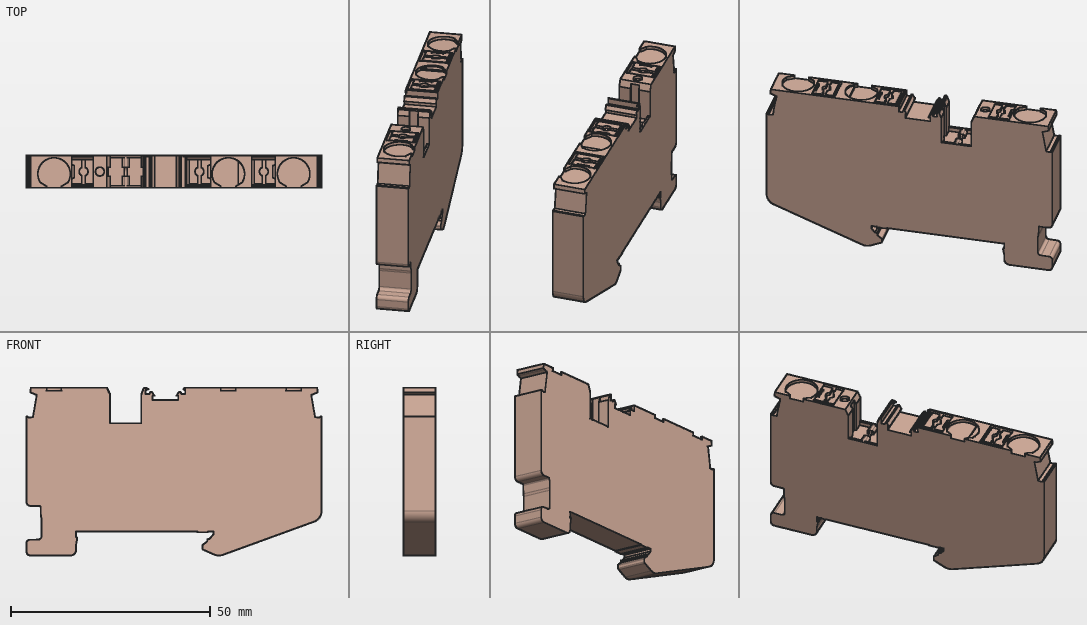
import cadquery as cq
import math

LENGTH = 74.2
WIDTH = 8.15
HEIGHT = 42.2
FRONT = -WIDTH / 2
BACK = WIDTH / 2

SHOULDER_LEDGE = 34.9
SHOULDER_ROOT = 1.6
SHOULDER_NECK = 2.6
FLANGE_EDGE = 1.1
FLANGE_UNDERSIDE = 40.4

NOTCH_LEFT = 21.1
NOTCH_RIGHT = 28.9
NOTCH_FLOOR = 33.3
NOTCH_CHAMFER = 0.8
NOTCH_CHAMFER_DROP = 1.7
NOTCH_PEAK_BEVEL = 0.3

SEAT_MIDDLE = 34.95
SEAT_HALF = 5.0
SEAT_FLOOR = 39.1
SEAT_SHELF = 40.65
SEAT_WALL_HALF = 3.2
SEAT_HOOK_TOP = 41.2
SEAT_HOOK_TIP = 40.15
SEAT_HOOK_TIP_HALF = 2.75
SEAT_HOOK_INNER = 3.4
SEAT_HOOK_OUTER = 3.8
SEAT_HOOK_FOOT = 4.0

RAIL_FACE = 6.0
RAIL_LEFT = 12.55
RAIL_RIGHT = 47.0
NOSE_MIDDLE = 48.4
NOSE_RADIUS = 3.0
NOSE_LEFT_ANGLE = math.radians(24)
BEVEL_ANGLE = math.radians(20)
BEVEL_END_RADIUS = 3.0
CLIP_LEFT = 44.2
CLIP_TOP = 2.7
FOOT_THICKNESS = 4.1
FOOT_HEEL_RADIUS = 1.5
FOOT_TOE_RADIUS = 1.1
FOOT_TOP_RADIUS = 1.0
FOOT_NECK = 3.8
FOOT_NECK_RADIUS = 0.8
HOUSING_UNDERSIDE = 12.5
HOUSING_EDGE_RADIUS = 1.1
RAIL_PAD_START = 42.95
RAIL_PAD_LENGTH = 2.7
RAIL_PAD_DROP = 0.15

RECESS_DEPTH = 0.8
DISC_CENTRES = (7.0, 50.75, 67.15)
DISC_RADIUS = 4.1
DISC_Y = -0.6
DISC_WINDOW = 3.7
DISC_WINDOW_BACK = -3.7
DISC_FLANK_X = 3.5
DISC_STEP_X = 53.2
DISC_STEP_HEIGHT = 0.45

POCKET_FRONT = -3.6
POCKET_BACK = 3.7
BUTTON_FRONT = -3.05
BUTTON_BACK = 3.05
POCKET_FRONT_SLOPE = 0.4
BUTTON_LENGTH = 5.35
BUTTON_DROP = 0.1
KEYHOLE_DIAMETER = 2.2
KEYHOLE_SLOT = 0.9
TOOL_NOTCH_LENGTH = 0.7
TOOL_NOTCH_OUTER = 3.55
TOOL_NOTCH_INNER = 3.0
BUTTONS = (
    (11.4, 0.0, -1, 3.0),
    (40.95, 0.6, 1, 2.5),
    (57.2, 0.6, 1, 2.45),
)
TEST_HOLE_X = 18.5
TEST_HOLE_DIAMETER = 2.2

GUIDE_WIDTH = 2.2
GUIDE_DEPTH = 0.5
CHANNEL_DIAMETER = 2.2
TRAY_HALF_WIDTH = 3.5
TRAY_DEPTH = CHANNEL_DIAMETER / 2
BAR_LEFT = 24.6
BAR_RIGHT = 25.3
BAR_SHOULDER = 0.5

TOOTH_THICKNESS = 0.3
TOOTH_HEIGHT = 0.4
LEFT_TOOTH_REACH = 0.8
RIGHT_TOOTH_REACH = 0.5


def mirrored(points, axis_x):
    """Points reflected about a vertical line, in reverse order."""
    return [(2 * axis_x - x, z, radius) for x, z, radius in reversed(points)]


def toward(start, end, distance):
    """Point at a distance from start on the line to end."""
    span = math.dist(start, end)
    return tuple(a + (b - a) * distance / span for a, b in zip(start, end))


def rounded_outline(corners):
    """Closed XZ wire through (x, z, radius) corners; radius 0 leaves a corner sharp."""
    pieces = []
    for i, (x, z, radius) in enumerate(corners):
        corner = (x, z)
        before = corners[i - 1][:2]
        after = corners[(i + 1) % len(corners)][:2]
        if radius == 0:
            pieces.append((corner,))
            continue
        to_before = math.atan2(before[1] - z, before[0] - x)
        to_after = math.atan2(after[1] - z, after[0] - x)
        half_angle = abs(math.remainder(to_before - to_after, 2 * math.pi)) / 2
        tangent = radius / math.tan(half_angle)
        start = toward(corner, before, tangent)
        end = toward(corner, after, tangent)
        chord_middle = ((start[0] + end[0]) / 2, (start[1] + end[1]) / 2)
        arc_middle = toward(corner, chord_middle, radius / math.sin(half_angle) - radius)
        pieces.append((start, arc_middle, end))

    path = cq.Workplane("XZ").moveTo(*pieces[0][-1])
    for piece in pieces[1:] + pieces[:1]:
        path = path.lineTo(*piece[0])
        if len(piece) == 3:
            path = path.threePointArc(*piece[1:])
    return path.close()


def extrude_outline(corners, front, back):
    """Prism of an XZ outline between two Y positions."""
    return rounded_outline(corners).extrude(back - front).translate((0, back, 0))


def box(x_range, y_range, z_range):
    """Box between pairs of limits."""
    sizes = [high - low for low, high in (x_range, y_range, z_range)]
    return cq.Workplane("XY").box(*sizes, centered=False).translate((x_range[0], y_range[0], z_range[0]))


def body():
    """Housing plate with the end shoulders, wire notch, marker seat and rail foot."""
    left_shoulder = [
        (0, SHOULDER_LEDGE, 0),
        (0.2, SHOULDER_LEDGE + 0.15, 0),
        (0.6, SHOULDER_LEDGE - 0.15, 0),
        (SHOULDER_ROOT, SHOULDER_LEDGE - 0.1, 0),
        (SHOULDER_NECK, FLANGE_UNDERSIDE, 0),
        (FLANGE_EDGE + 0.3, FLANGE_UNDERSIDE + 0.45, 0),
        (FLANGE_EDGE - 0.15, FLANGE_UNDERSIDE + 0.7, 0),
        (FLANGE_EDGE, HEIGHT, 0),
    ]
    peak_x = NOTCH_RIGHT + NOTCH_CHAMFER
    notch = [
        (NOTCH_LEFT - NOTCH_CHAMFER, HEIGHT, 0),
        (NOTCH_LEFT, HEIGHT - NOTCH_CHAMFER_DROP, 0),
        (NOTCH_LEFT, NOTCH_FLOOR, 0),
        (NOTCH_RIGHT, NOTCH_FLOOR, 0),
        (NOTCH_RIGHT, HEIGHT - NOTCH_CHAMFER_DROP, 0),
        (peak_x - NOTCH_PEAK_BEVEL, HEIGHT - NOTCH_PEAK_BEVEL, 0),
        (peak_x, HEIGHT, 0),
    ]
    seat_left = [
        (SEAT_MIDDLE - SEAT_HALF, HEIGHT, 0),
        (SEAT_MIDDLE - SEAT_HALF, SEAT_SHELF, 0),
        (SEAT_MIDDLE - SEAT_HOOK_FOOT, SEAT_SHELF, 0),
        (SEAT_MIDDLE - SEAT_HOOK_OUTER, SEAT_HOOK_TOP, 0),
        (SEAT_MIDDLE - SEAT_HOOK_INNER, SEAT_HOOK_TOP, 0),
        (SEAT_MIDDLE - SEAT_HOOK_TIP_HALF, SEAT_HOOK_TIP, 0),
        (SEAT_MIDDLE - SEAT_WALL_HALF, SEAT_HOOK_TIP, 0),
        (SEAT_MIDDLE - SEAT_WALL_HALF, SEAT_FLOOR, 0),
    ]
    nose_reach = NOSE_RADIUS / math.cos((NOSE_LEFT_ANGLE + BEVEL_ANGLE) / 2)
    nose_lean = (BEVEL_ANGLE - NOSE_LEFT_ANGLE) / 2
    nose_x = NOSE_MIDDLE + nose_reach * math.sin(nose_lean)
    nose_z = NOSE_RADIUS - nose_reach * math.cos(nose_lean)
    bevel_end = nose_z + (LENGTH - nose_x) * math.tan(BEVEL_ANGLE)
    clip_z = nose_z + (nose_x - CLIP_LEFT) * math.tan(NOSE_LEFT_ANGLE)
    underside = [
        (LENGTH, bevel_end, BEVEL_END_RADIUS),
        (nose_x, nose_z, NOSE_RADIUS),
        (CLIP_LEFT, clip_z, 0.4),
        (CLIP_LEFT, CLIP_TOP, 0.2),
        (45.4, 3.55, 0),
        (45.5, 4.15, 0),
        (46.0, 4.2, 0),
        (RAIL_RIGHT, 5.35, 0),
        (RAIL_RIGHT, RAIL_FACE, 0),
        (RAIL_LEFT, RAIL_FACE, 0),
        (RAIL_LEFT, 4.7, 0),
        (12.8, 4.4, 0),
        (RAIL_LEFT, 2.8, 0),
        (RAIL_LEFT, 0, FOOT_HEEL_RADIUS),
        (0, 0, FOOT_TOE_RADIUS),
        (0, FOOT_THICKNESS - 0.1, FOOT_TOP_RADIUS),
        (FOOT_NECK, FOOT_THICKNESS, FOOT_NECK_RADIUS),
        (FOOT_NECK, 9.35, 0),
        (FOOT_NECK - 0.15, 10.0, 0),
        (FOOT_NECK - 0.2, HOUSING_UNDERSIDE, 0.2),
        (0, HOUSING_UNDERSIDE, HOUSING_EDGE_RADIUS),
    ]
    corners = left_shoulder + notch + seat_left + mirrored(seat_left, SEAT_MIDDLE)
    corners += mirrored(left_shoulder, LENGTH / 2) + underside
    return extrude_outline(corners, FRONT, BACK)


def seat_tooth(root_x, reach):
    """Thin triangular tooth flush with the back face; the sign of reach is its direction."""
    corners = [
        (root_x, HEIGHT, 0),
        (root_x + reach, HEIGHT - TOOTH_HEIGHT, 0),
        (root_x, HEIGHT - 2 * TOOTH_HEIGHT, 0),
    ]
    return extrude_outline(corners, BACK - TOOTH_THICKNESS, BACK)


def top_prism(sketch, depth=RECESS_DEPTH):
    """Cutter of the given plan shape, sunk from the top face."""
    return sketch.extrude(depth).translate((0, 0, HEIGHT - depth))


def disc_recess(centre_x):
    """Round recess whose front side tapers to a window in the front face."""
    flank_y = DISC_Y - math.sqrt(DISC_RADIUS**2 - DISC_FLANK_X**2)
    half_window = DISC_WINDOW / 2
    plan = (
        cq.Workplane("XY")
        .moveTo(centre_x - DISC_FLANK_X, flank_y)
        .threePointArc((centre_x, DISC_Y + DISC_RADIUS), (centre_x + DISC_FLANK_X, flank_y))
        .lineTo(centre_x + half_window, DISC_WINDOW_BACK)
        .lineTo(centre_x + half_window, FRONT)
        .lineTo(centre_x - half_window, FRONT)
        .lineTo(centre_x - half_window, DISC_WINDOW_BACK)
        .close()
    )
    return top_prism(plan)


def button_recess(left, gap, notch_side, keyhole_offset):
    """Sloped pocket around a nearly flush button that carries a keyhole and a tool notch."""
    right = left + BUTTON_LENGTH
    floor = HEIGHT - RECESS_DEPTH
    pocket = (
        cq.Workplane("YZ")
        .polyline([
            (POCKET_FRONT, HEIGHT),
            (POCKET_FRONT + POCKET_FRONT_SLOPE, floor),
            (BUTTON_BACK, floor),
            (POCKET_BACK, HEIGHT),
        ])
        .close()
        .extrude(BUTTON_LENGTH + gap)
        .translate((left - gap, 0, 0))
    )
    button = box((left, right), (BUTTON_FRONT, BUTTON_BACK), (floor, HEIGHT - BUTTON_DROP))

    keyhole_x = left + keyhole_offset
    slot = box(
        (keyhole_x - KEYHOLE_SLOT / 2, keyhole_x + KEYHOLE_SLOT / 2),
        (BUTTON_FRONT, BUTTON_BACK),
        (floor, HEIGHT),
    )
    eye = top_prism(cq.Workplane("XY").center(keyhole_x, 0).circle(KEYHOLE_DIAMETER / 2))

    notch_edge = right if notch_side > 0 else left
    notch_end = notch_edge - notch_side * TOOL_NOTCH_LENGTH
    tool_notch = top_prism(
        cq.Workplane("XY")
        .polyline([
            (notch_edge, TOOL_NOTCH_OUTER / 2),
            (notch_end, TOOL_NOTCH_INNER / 2),
            (notch_end, -TOOL_NOTCH_INNER / 2),
            (notch_edge, -TOOL_NOTCH_OUTER / 2),
        ])
        .close()
    )
    opening = box((left, right), (BUTTON_FRONT, BUTTON_BACK), (floor, HEIGHT))
    return pocket.union(opening).cut(button).union(slot).union(eye).union(tool_notch)


def wire_guide():
    """Upright grooves in both walls of the wire notch, reaching down to the tray floor."""
    return box(
        (NOTCH_LEFT - GUIDE_DEPTH, NOTCH_RIGHT + GUIDE_DEPTH),
        (-GUIDE_WIDTH / 2, GUIDE_WIDTH / 2),
        (NOTCH_FLOOR - TRAY_DEPTH, HEIGHT),
    )


def tray_bar():
    """Bar with rounded shoulders, thinned in the middle and bored by a round wire channel."""
    bottom = NOTCH_FLOOR - TRAY_DEPTH
    left = BAR_LEFT - BAR_SHOULDER
    right = BAR_RIGHT + BAR_SHOULDER
    section = [
        (left, bottom, 0),
        (left, NOTCH_FLOOR, BAR_SHOULDER),
        (right, NOTCH_FLOOR, BAR_SHOULDER),
        (right, bottom, 0),
    ]
    bar = extrude_outline(section, -TRAY_HALF_WIDTH, TRAY_HALF_WIDTH)
    heights = (bottom, NOTCH_FLOOR)
    half_guide = GUIDE_WIDTH / 2
    for side in ((left, BAR_LEFT), (BAR_RIGHT, right)):
        bar = bar.cut(box(side, (-half_guide, half_guide), heights))
    channel = (
        cq.Workplane("YZ", origin=(left, 0, NOTCH_FLOOR))
        .circle(CHANNEL_DIAMETER / 2)
        .extrude(right - left)
    )
    return bar.cut(channel)


def notch_hollows():
    """Wire guides and the two floor trays, with the bar between the trays left standing."""
    trays = box(
        (NOTCH_LEFT, NOTCH_RIGHT),
        (-TRAY_HALF_WIDTH, TRAY_HALF_WIDTH),
        (NOTCH_FLOOR - TRAY_DEPTH, NOTCH_FLOOR),
    )
    return trays.union(wire_guide()).cut(tray_bar())


part = body()
part = part.union(seat_tooth(SEAT_MIDDLE - SEAT_HALF, LEFT_TOOTH_REACH))
part = part.union(seat_tooth(SEAT_MIDDLE + SEAT_HALF, -RIGHT_TOOTH_REACH))
part = part.union(
    box(
        (RAIL_PAD_START, RAIL_PAD_START + RAIL_PAD_LENGTH),
        (FRONT, BACK),
        (RAIL_FACE - RAIL_PAD_DROP, RAIL_FACE),
    )
)

for disc_x in DISC_CENTRES:
    recess = disc_recess(disc_x)
    step = box(
        (DISC_STEP_X, DISC_STEP_X + DISC_RADIUS),
        (FRONT, BACK),
        (HEIGHT - RECESS_DEPTH, HEIGHT - RECESS_DEPTH + DISC_STEP_HEIGHT),
    )
    part = part.cut(recess.cut(step))

for button_values in BUTTONS:
    part = part.cut(button_recess(*button_values))

part = part.cut(top_prism(cq.Workplane("XY").center(TEST_HOLE_X, 0).circle(TEST_HOLE_DIAMETER / 2)))
part = part.cut(notch_hollows())

result = part